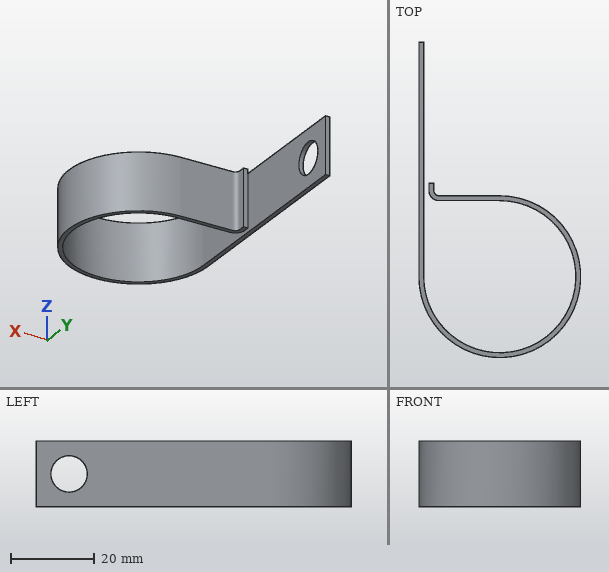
import cadquery as cq
import math

strap_width = 15.88
thickness = 1.22

outer_radius = 19.47
inner_radius = outer_radius - thickness

leg_end_y = 56.34
hole_diameter = 8.7
hole_edge_distance = strap_width / 2

hook_gap = 1.2
hook_inner_bend = thickness
hook_outer_bend = hook_inner_bend + thickness
hook_rise = 3.0
hook_left_x = -inner_radius + hook_gap
hook_right_x = hook_left_x + thickness
hook_bend_x = hook_left_x + hook_outer_bend
hook_bend_y = inner_radius + hook_outer_bend
hook_tip_y = outer_radius + hook_rise


def loop_middle(radius):
    """Point on the loop halfway along its three-quarter turn."""
    offset = radius * math.sqrt(0.5)
    return (offset, -offset)


def bend_middle(radius):
    """Point on the hook bend halfway along its quarter turn."""
    offset = radius * math.sqrt(0.5)
    return (hook_bend_x - offset, hook_bend_y - offset)


def make_strap():
    """Bent strip: mounting leg, three-quarter loop, return leg and hook."""
    outline = (
        cq.Workplane("XY")
        .moveTo(-outer_radius, leg_end_y)
        .lineTo(-outer_radius, 0)
        .threePointArc(loop_middle(outer_radius), (0, outer_radius))
        .lineTo(hook_bend_x, outer_radius)
        .threePointArc(bend_middle(hook_inner_bend), (hook_right_x, hook_bend_y))
        .lineTo(hook_right_x, hook_tip_y)
        .lineTo(hook_left_x, hook_tip_y)
        .lineTo(hook_left_x, hook_bend_y)
        .threePointArc(bend_middle(hook_outer_bend), (hook_bend_x, inner_radius))
        .lineTo(0, inner_radius)
        .threePointArc(loop_middle(inner_radius), (-inner_radius, 0))
        .lineTo(-inner_radius, leg_end_y)
        .close()
    )
    return outline.extrude(strap_width / 2, both=True)


def make_hole_cutter():
    """Cylinder along X that passes through the mounting leg only."""
    overshoot = thickness
    return (
        cq.Workplane("YZ", origin=(-outer_radius - overshoot, 0, 0))
        .center(leg_end_y - hole_edge_distance, 0)
        .circle(hole_diameter / 2)
        .extrude(thickness + 2 * overshoot)
    )


result = make_strap().cut(make_hole_cutter())